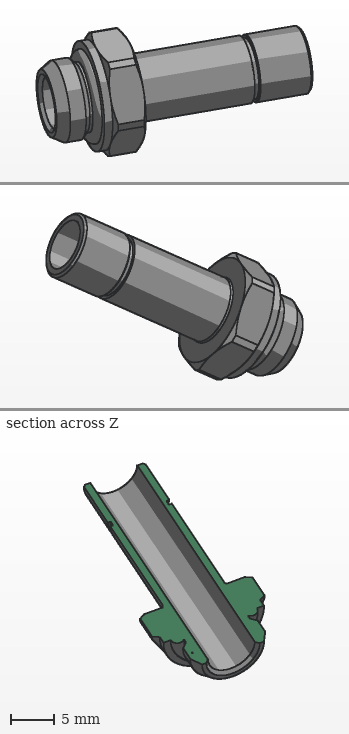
import cadquery as cq
import math

total_length = 31.0
tube_radius = 4.0
thread_radius = 4.85
nose_chamfer_end = 1.4
thread_end = 3.3
neck_radius = 4.15
neck_start = thread_end + thread_radius - neck_radius

flange_start = 5.0
hex_start = 5.98
hex_end = 10.0
across_flats = 13.0
flange_radius = across_flats / 2
corner_radius = 7.25
hex_chamfer = (corner_radius - flange_radius) * math.tan(math.radians(30))

seal_outer_radius = 5.58
seal_section_radius = 0.85
seal_center_y = flange_start
seal_center_radius = seal_outer_radius - seal_section_radius

collar_radius = 4.1
collar_end = 10.3
groove_radius = 3.63
groove_start = 23.93
groove_end = 24.52
groove_chamfer = 0.12
tube_end_chamfer = 0.28

bore_radius = 3.0
mouth_chamfer = 0.43


def revolve_about_y(points):
    """Revolve a closed (radius, y) outline around the Y axis."""
    return cq.Workplane("XY").polyline(points).close().revolve(360, (0, 0, 0), (0, 1, 0))


def make_turned_body():
    return revolve_about_y([
        (0, 0),
        (tube_radius, 0),
        (thread_radius, nose_chamfer_end),
        (thread_radius, thread_end),
        (neck_radius, neck_start),
        (neck_radius, flange_start),
        (flange_radius, flange_start),
        (flange_radius, hex_end),
        (collar_radius, hex_end),
        (tube_radius, collar_end),
        (tube_radius, groove_start),
        (groove_radius, groove_start),
        (groove_radius, groove_end),
        (tube_radius - groove_chamfer, groove_end),
        (tube_radius, groove_end + groove_chamfer),
        (tube_radius, total_length - tube_end_chamfer),
        (tube_radius - tube_end_chamfer, total_length),
        (0, total_length),
    ])


def make_hexagon():
    """Hexagon with flats facing +Z and -Z and its corners turned and chamfered."""
    across_corners = across_flats / math.cos(math.radians(30))
    prism = (
        cq.Workplane("XZ", origin=(0, hex_end, 0))
        .polygon(6, across_corners)
        .extrude(hex_end - hex_start)
    )
    turned_envelope = revolve_about_y([
        (0, hex_start),
        (flange_radius, hex_start),
        (corner_radius, hex_start + hex_chamfer),
        (corner_radius, hex_end - hex_chamfer),
        (flange_radius, hex_end),
        (0, hex_end),
    ])
    return prism.intersect(turned_envelope)


def make_seal():
    return (
        cq.Workplane("XY")
        .center(seal_center_radius, seal_center_y)
        .circle(seal_section_radius)
        .revolve(360, (-seal_center_radius, 0, 0), (-seal_center_radius, 1, 0))
    )


def make_bore():
    return revolve_about_y([
        (0, 0),
        (bore_radius + mouth_chamfer, 0),
        (bore_radius, mouth_chamfer),
        (bore_radius, total_length),
        (0, total_length),
    ])


result = make_turned_body().union(make_hexagon()).union(make_seal()).cut(make_bore())